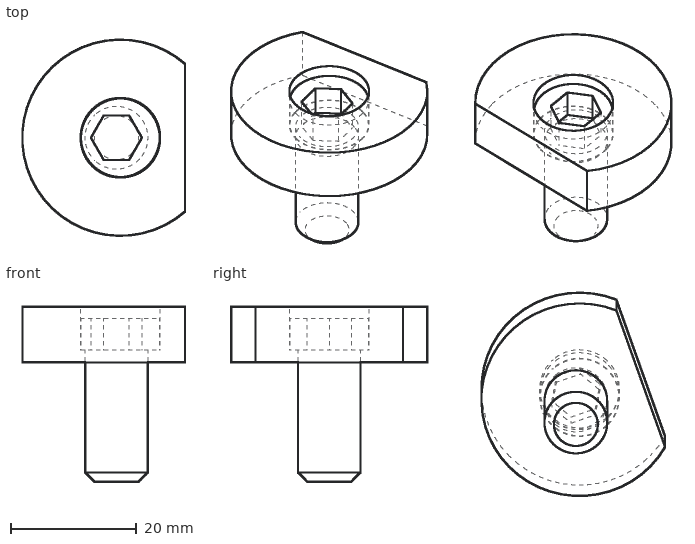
import cadquery as cq

disc_diameter = 31.25
disc_thickness = 8.87
flat_distance = 10.3

eccentricity = 0.62
head_diameter = 12.5
head_height = 5.0
head_sink = 1.9
shank_diameter = 10.0
shank_length = 19.0
tip_chamfer = 1.5
hex_across_corners = 8.12
hex_depth = 5.0

counterbore_diameter = 12.68

head_top = disc_thickness - head_sink
head_seat = head_top - head_height
shank_x = -eccentricity


def cylinder(diameter, bottom, top, x=0.0):
    """Upright cylinder between two heights, with its axis at the given X."""
    return cq.Workplane("XY", origin=(x, 0, bottom)).circle(diameter / 2).extrude(top - bottom)


def make_disc():
    """Disc with one flat side, a counterbore and an offset shank hole."""
    disc_radius = disc_diameter / 2
    width = disc_radius + flat_distance
    flat_limit = cq.Workplane("XY", origin=(-disc_radius, 0, 0)).box(
        width, disc_diameter, disc_thickness, centered=(False, True, False)
    )
    disc = cylinder(disc_diameter, 0, disc_thickness).intersect(flat_limit)
    disc = disc.cut(cylinder(counterbore_diameter, head_seat, disc_thickness))
    return disc.cut(cylinder(shank_diameter, 0, head_seat, shank_x))


def make_screw():
    """Eccentric screw with a hexagon socket on the shank axis."""
    shank = cylinder(shank_diameter, -shank_length, head_seat, shank_x)
    shank = shank.faces("<Z").chamfer(tip_chamfer)
    head = cylinder(head_diameter, head_seat, head_top)
    socket = (
        cq.Workplane("XY", origin=(shank_x, 0, head_top))
        .polygon(6, hex_across_corners)
        .extrude(-hex_depth)
    )
    return shank.union(head).cut(socket)


disc = make_disc()
screw = make_screw()

result = cq.Compound.makeCompound([disc.val(), screw.val()])